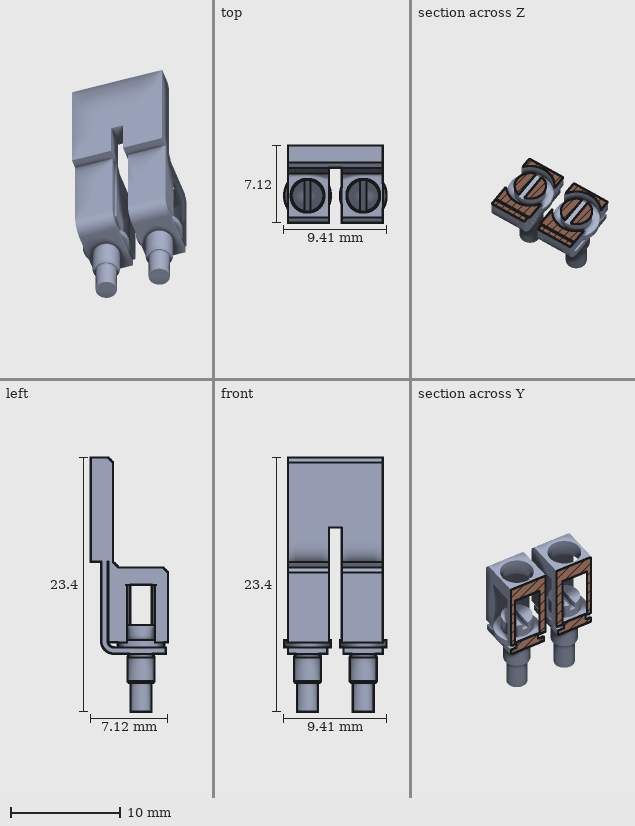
import cadquery as cq


total_height = 23.35
total_depth = 7.12
plate_width = 8.7
plate_thickness = 2.08
plate_bottom_z = 13.75
bevel = 0.5
block_top_z = 13.26
block_bottom_z = 6.37
block_back_depth = 1.6
split_width = 1.15
split_top_z = 16.9

screw_spacing = 5.11
screw_depth = 4.62
access_hole_diameter = 3.1
cavity_diameter = 4.41
cavity_top_z = 11.65

strap_back_depth = 0.95
strap_front_depth = 6.9
strap_thickness = 0.6
strap_width = 3.62
strap_bottom_z = 5.32
strap_inner_radius = 0.6

flange_diameter = 4.3
flange_top_z = 6.58
head_diameter = 2.92
head_top_z = 7.99
driver_slot_width = 0.58
driver_slot_depth = 0.6
neck_diameter = 2.15
collar_diameter = 2.5
collar_top_z = 5.0
collar_bottom_z = 2.85
collar_bevel_height = 0.2
tip_diameter = 1.94

plate_half_width = plate_width / 2
strap_top_z = strap_bottom_z + strap_thickness


def cylinder(x, diameter, bottom_z, top_z):
    """Vertical cylinder on the screw axis at x."""
    return (
        cq.Workplane("XY", origin=(x, -screw_depth, bottom_z))
        .circle(diameter / 2)
        .extrude(top_z - bottom_z)
    )


def make_plate_with_blocks():
    """Extruded side profile, split into two clamp blocks by a central slot."""
    profile = [
        (0, plate_bottom_z),
        (0, total_height),
        (bevel - plate_thickness, total_height),
        (-plate_thickness, total_height - bevel),
        (-plate_thickness, block_top_z + bevel),
        (-plate_thickness - bevel, block_top_z),
        (bevel - total_depth, block_top_z),
        (-total_depth, block_top_z - bevel),
        (-total_depth, block_bottom_z),
        (-block_back_depth, block_bottom_z),
        (-block_back_depth, plate_bottom_z),
    ]
    body = cq.Workplane("YZ").polyline(profile).close().extrude(plate_half_width, both=True)
    split = cq.Workplane("XY").box(split_width, 2 * total_depth, split_top_z, centered=(True, True, False))
    return body.cut(split)


def make_clamp_bore(x):
    """Access hole over a wide cavity that breaks through the block sides."""
    access_hole = cylinder(x, access_hole_diameter, cavity_top_z, total_height)
    cavity = cylinder(x, cavity_diameter, block_bottom_z, cavity_top_z)
    return access_hole.union(cavity)


def make_strap(side):
    """Bent strap hanging from the plate, flush with the plate's outer edge."""
    outer_radius = strap_inner_radius + strap_thickness
    length = strap_front_depth - strap_back_depth
    height = plate_bottom_z - strap_bottom_z
    back_y = -strap_back_depth
    return (
        cq.Workplane("YZ", origin=(side * plate_half_width, back_y, strap_bottom_z))
        .moveTo(0, height)
        .lineTo(0, outer_radius)
        .radiusArc((-outer_radius, 0), outer_radius)
        .lineTo(-length, 0)
        .lineTo(-length, strap_thickness)
        .lineTo(-outer_radius, strap_thickness)
        .radiusArc((-strap_thickness, outer_radius), -strap_inner_radius)
        .lineTo(-strap_thickness, height)
        .close()
        .extrude(-side * strap_width)
    )


def make_screw(x):
    """Turned screw and pin, with a driver slot along Y across the head."""
    neck_radius = neck_diameter / 2
    collar_radius = collar_diameter / 2
    tip_radius = tip_diameter / 2
    flange_radius = flange_diameter / 2
    head_radius = head_diameter / 2
    neck_bottom_z = collar_bottom_z - collar_bevel_height
    half_profile = [
        (0, 0),
        (tip_radius, 0),
        (tip_radius, neck_bottom_z),
        (neck_radius, neck_bottom_z),
        (collar_radius, collar_bottom_z),
        (collar_radius, collar_top_z),
        (neck_radius, strap_bottom_z),
        (neck_radius, strap_top_z),
        (flange_radius, strap_top_z),
        (flange_radius, flange_top_z),
        (head_radius, flange_top_z),
        (head_radius, head_top_z),
        (0, head_top_z),
    ]
    screw = (
        cq.Workplane("XZ", origin=(x, -screw_depth, 0))
        .polyline(half_profile)
        .close()
        .revolve(360, (0, 0), (0, 1))
    )
    slot = (
        cq.Workplane("XY", origin=(x, -screw_depth, head_top_z - driver_slot_depth))
        .rect(driver_slot_width, head_diameter)
        .extrude(driver_slot_depth)
    )
    return screw.cut(slot)


result = make_plate_with_blocks()
for side in (-1, 1):
    screw_x = side * screw_spacing / 2
    result = result.cut(make_clamp_bore(screw_x))
    result = result.union(make_strap(side))
    result = result.union(make_screw(screw_x))